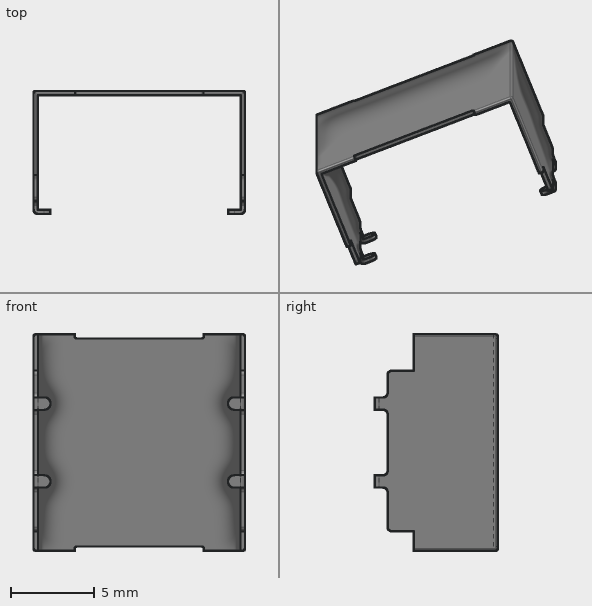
import cadquery as cq

WIDTH = 12.7
DEPTH = 7.39
HEIGHT = 13.0

SHEET = 0.27
BACK_CORNER_ROUND = 0.14
RIM_ROUND = 0.125

FULL_WALL_DEPTH = 5.06
EXTENSION_DEPTH = 6.62
EXTENSION_TOP_STEP = 2.19
EXTENSION_BOTTOM_STEP = 1.17
CORNER_RADIUS = 0.25

TAB_HEIGHT = 0.75
TAB_REACH = 1.02
TAB_BEND_RADIUS = 0.27
TAB_ROOT_RADIUS = 0.27
TAB_SPACING = 4.68

NOTCH_WIDTH = 7.72
NOTCH_DEPTH = 0.25
NOTCH_CORNER_RADIUS = 0.1

LEFT_X = -WIDTH / 2
RIGHT_X = WIDTH / 2
BACK_Y = DEPTH / 2
FRONT_Y = -DEPTH / 2
TOP_Z = HEIGHT / 2
BOTTOM_Z = -HEIGHT / 2
STEP_Y = BACK_Y - FULL_WALL_DEPTH
EXTENSION_Y = BACK_Y - EXTENSION_DEPTH
TAB_START_Y = EXTENSION_Y - TAB_ROOT_RADIUS
EXTENSION_TOP_Z = TOP_Z - EXTENSION_TOP_STEP
EXTENSION_BOTTOM_Z = BOTTOM_Z + EXTENSION_BOTTOM_STEP
TAB_CENTRES_Z = (TAB_SPACING / 2, -TAB_SPACING / 2)


def box_between(x0, x1, y0, y1, z0, z1):
    """Box spanning the given limits along each axis."""
    return cq.Workplane("XY").box(x1 - x0, y1 - y0, z1 - z0, centered=False).translate((x0, y0, z0))


def channel():
    """Three full-height walls with rounded back corners and rounded outer rims."""
    outer = box_between(LEFT_X, RIGHT_X, STEP_Y, BACK_Y, BOTTOM_Z, TOP_Z)
    outer = outer.edges("|Z and >Y").fillet(BACK_CORNER_ROUND)
    outer = outer.faces("<Z or >Z").edges("not <Y").fillet(RIM_ROUND)
    inside = box_between(LEFT_X + SHEET, RIGHT_X - SHEET, STEP_Y, BACK_Y - SHEET, BOTTOM_Z, TOP_Z)
    return outer.cut(inside)


def notch():
    """Cutter for the notch in the top edge of the back wall."""
    floor_z = TOP_Z - NOTCH_DEPTH
    cutter = box_between(-NOTCH_WIDTH / 2, NOTCH_WIDTH / 2, BACK_Y - SHEET, BACK_Y, floor_z, TOP_Z)
    return cutter.edges("|Y and <Z").fillet(NOTCH_CORNER_RADIUS)


def wall_extension():
    """Shorter front part of the left wall, with its bent tabs and their flared roots."""
    plate = box_between(LEFT_X, LEFT_X + SHEET, EXTENSION_Y, STEP_Y, EXTENSION_BOTTOM_Z, EXTENSION_TOP_Z)
    plate = plate.edges("|X and <Y").fillet(CORNER_RADIUS)
    for centre_z in TAB_CENTRES_Z:
        low_z = centre_z - TAB_HEIGHT / 2
        high_z = centre_z + TAB_HEIGHT / 2
        root = (
            cq.Workplane("YZ", origin=(LEFT_X, 0, 0))
            .moveTo(EXTENSION_Y, low_z - TAB_ROOT_RADIUS)
            .radiusArc((TAB_START_Y, low_z), -TAB_ROOT_RADIUS)
            .lineTo(TAB_START_Y, high_z)
            .radiusArc((EXTENSION_Y, high_z + TAB_ROOT_RADIUS), -TAB_ROOT_RADIUS)
            .close()
            .extrude(SHEET)
        )
        plate = plate.union(root).union(bent_tab(low_z))
    return plate


def bent_tab(low_z):
    """Tab bent inward from the left wall, its tip a full round."""
    high_z = low_z + TAB_HEIGHT
    tip_x = LEFT_X + TAB_REACH
    outline = box_between(LEFT_X, tip_x, FRONT_Y, TAB_START_Y, low_z, high_z)
    outline = outline.edges("|Z and <X and <Y").fillet(TAB_BEND_RADIUS)
    inside = box_between(LEFT_X + SHEET, tip_x, FRONT_Y + SHEET, TAB_START_Y, low_z, high_z)
    round_start_x = tip_x - TAB_HEIGHT / 2
    tip_shape = (
        cq.Workplane("XZ", origin=(0, TAB_START_Y, 0))
        .moveTo(LEFT_X, low_z)
        .lineTo(round_start_x, low_z)
        .threePointArc((tip_x, (low_z + high_z) / 2), (round_start_x, high_z))
        .lineTo(LEFT_X, high_z)
        .close()
        .extrude(TAB_START_Y - FRONT_Y)
    )
    return outline.cut(inside).intersect(tip_shape)


top_notch = notch()
left_extension = wall_extension()

result = (
    channel()
    .cut(top_notch)
    .cut(top_notch.mirror("XY"))
    .union(left_extension)
    .union(left_extension.mirror("YZ"))
)